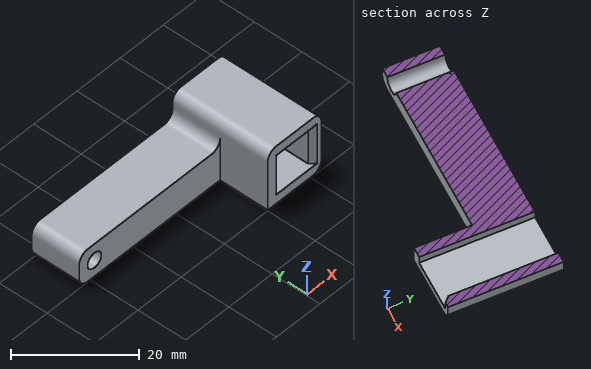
import cadquery as cq

length = 45.0
depth = 20.0
socket_size = 12.4

arm_height = 7.0
arm_depth = depth / 2
edge_radius = 2.0
hole_diameter = 3.2

wall = 2.0
lead_in = wall / 2

socket_left = length - socket_size
opening_left = socket_left + wall
opening_right = length - wall


def make_arm():
    """Flat lever joining the +Y half of the socket, rounded at its free end."""
    arm = (
        cq.Workplane("XY")
        .box(opening_left, arm_depth, arm_height, centered=False)
        .translate((0, depth - arm_depth, 0))
        .edges("|Y and <X")
        .fillet(edge_radius)
    )
    return arm


def make_socket():
    """Square tube body; the lower corner next to the arm stays sharp."""
    body = (
        cq.Workplane("XY")
        .box(socket_size, depth, socket_size, centered=False)
        .edges("|Y and (>X or >Z)")
        .fillet(edge_radius)
    )
    return body.translate((socket_left, 0, 0))


def make_inner_fillet():
    """Concave blend between the arm's top and the socket's side."""
    return (
        cq.Workplane("XZ", origin=(0, depth, 0))
        .moveTo(socket_left, arm_height)
        .lineTo(socket_left - edge_radius, arm_height)
        .radiusArc((socket_left, arm_height + edge_radius), -edge_radius)
        .close()
        .extrude(arm_depth)
    )


def make_opening():
    """Square through opening with a bevelled lead-in on its +X wall."""
    return (
        cq.Workplane("XY", origin=(0, 0, wall))
        .moveTo(opening_left, 0)
        .lineTo(opening_right + lead_in, 0)
        .lineTo(opening_right, lead_in)
        .lineTo(opening_right, depth)
        .lineTo(opening_left, depth)
        .close()
        .extrude(socket_size - 2 * wall)
    )


def make_pin_hole():
    """Round through hole at mid-height in the arm's rounded end."""
    return (
        cq.Workplane("XZ", origin=(0, depth, 0))
        .center(arm_height / 2, arm_height / 2)
        .circle(hole_diameter / 2)
        .extrude(arm_depth)
    )


solid_body = make_arm().union(make_socket()).union(make_inner_fillet())
result = solid_body.cut(make_opening()).cut(make_pin_hole())